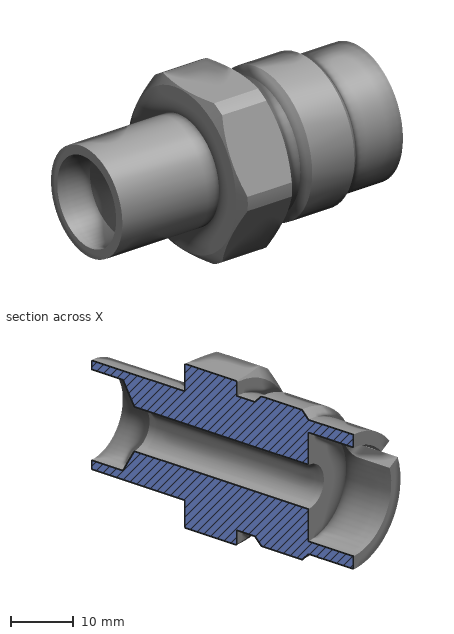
import cadquery as cq
import math

total_length = 53.85
front_y = -total_length / 2
back_y = total_length / 2

across_flats = 28.6
hex_turned_diameter = 31.65
hex_face_diameter = 28.15
hex_length = 10.75
hex_bevel_angle = 30.0

tube_diameter = 19.05
tube_length = 19.1

sleeve_diameter = 23.5
collar_diameter = 26.15
shoulder_length = 9.25
collar_length = 11.05

tube_bore_diameter = 15.7
tube_bore_depth = 6.45
through_diameter = 7.65
cone_angle = 60.0
sleeve_bore_diameter = 18.85
sleeve_bore_depth = shoulder_length

slot_width = 4.1
slot_length = 8.45
slot_tilt = 30.0

hex_front_y = front_y + tube_length
hex_back_y = hex_front_y + hex_length
collar_back_y = back_y - shoulder_length
collar_front_y = collar_back_y - collar_length


def revolve_profile(points):
    """Revolve (radius, y) points about the Y axis."""
    return cq.Workplane("XY").polyline(points).close().revolve(360, (0, 0, 0), (0, 1, 0))


def cylinder(diameter, start_y, end_y):
    radius = diameter / 2
    return revolve_profile([(0, start_y), (radius, start_y), (radius, end_y), (0, end_y)])


def make_hexagon():
    corner_diameter = across_flats / math.cos(math.pi / 6)
    prism = (
        cq.Workplane("XZ", origin=(0, hex_back_y, 0))
        .polygon(6, corner_diameter)
        .extrude(hex_length)
    )
    face_radius = hex_face_diameter / 2
    turned_radius = hex_turned_diameter / 2
    bevel = (turned_radius - face_radius) * math.tan(math.radians(hex_bevel_angle))
    turned_blank = revolve_profile([
        (0, hex_front_y),
        (face_radius, hex_front_y),
        (turned_radius, hex_front_y + bevel),
        (turned_radius, hex_back_y - bevel),
        (face_radius, hex_back_y),
        (0, hex_back_y),
    ])
    return prism.intersect(turned_blank)


def make_collar():
    sleeve_radius = sleeve_diameter / 2
    collar_radius = collar_diameter / 2
    bevel = collar_radius - sleeve_radius
    return revolve_profile([
        (0, collar_front_y),
        (sleeve_radius, collar_front_y),
        (collar_radius, collar_front_y + bevel),
        (collar_radius, collar_back_y - bevel),
        (sleeve_radius, collar_back_y),
        (0, collar_back_y),
    ])


def make_bores():
    tube_bore_radius = tube_bore_diameter / 2
    through_radius = through_diameter / 2
    sleeve_bore_radius = sleeve_bore_diameter / 2
    cone_start_y = front_y + tube_bore_depth
    cone_length = (tube_bore_radius - through_radius) / math.tan(math.radians(cone_angle))
    sleeve_bore_y = back_y - sleeve_bore_depth
    return revolve_profile([
        (0, front_y),
        (tube_bore_radius, front_y),
        (tube_bore_radius, cone_start_y),
        (through_radius, cone_start_y + cone_length),
        (through_radius, sleeve_bore_y),
        (sleeve_bore_radius, sleeve_bore_y),
        (sleeve_bore_radius, back_y),
        (0, back_y),
    ])


def make_slot():
    """Radial slot, open at the back end, cut through one side of the wall."""
    half_width = slot_width / 2
    slot_end_y = back_y - slot_length
    arc_start_y = slot_end_y + half_width
    outline = (
        cq.Workplane("YZ")
        .moveTo(back_y, -half_width)
        .lineTo(arc_start_y, -half_width)
        .threePointArc((slot_end_y, 0), (arc_start_y, half_width))
        .lineTo(back_y, half_width)
        .close()
    )
    return outline.extrude(-sleeve_diameter).rotate((0, 0, 0), (0, 1, 0), slot_tilt)


tube = cylinder(tube_diameter, front_y, hex_front_y)
sleeve = cylinder(sleeve_diameter, hex_back_y, back_y)
body = make_hexagon().union(tube).union(sleeve).union(make_collar())
result = body.cut(make_bores()).cut(make_slot())